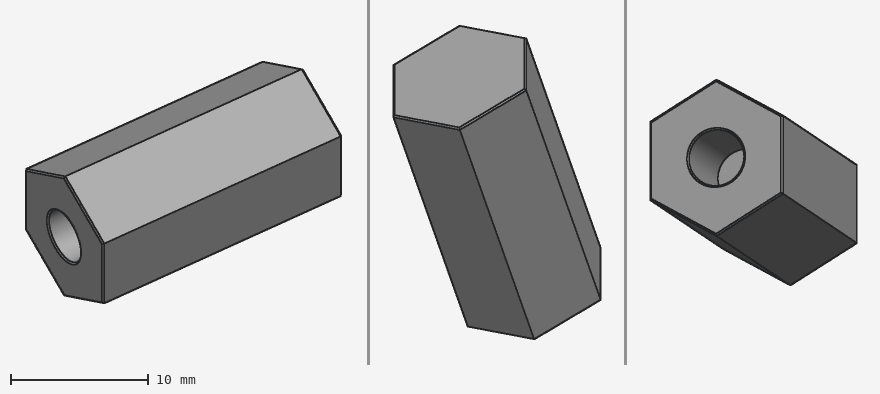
import cadquery as cq
import math

length = 21.1
across_flats = 10.0
across_corners = across_flats / math.cos(math.pi / 6)
edge_chamfer = 0.13

hole_diameter = 4.14
hole_depth = 2 * hole_diameter
hole_chamfer = 0.13


def hex_body():
    """Hexagonal bar with corners at top and bottom and chamfered end edges."""
    bar = (
        cq.Workplane("XZ")
        .transformed(rotate=(0, 0, 90))
        .polygon(6, across_corners)
        .extrude(length / 2, both=True)
    )
    return bar.faces("<Y or >Y").chamfer(edge_chamfer)


def blind_hole():
    """Solid to cut away: a flat-bottomed hole with a chamfered mouth, opening at -Y."""
    radius = hole_diameter / 2
    mouth_radius = radius + hole_chamfer
    mouth_y = -length / 2
    return (
        cq.Workplane("XY")
        .moveTo(0, mouth_y)
        .lineTo(mouth_radius, mouth_y)
        .lineTo(radius, mouth_y + hole_chamfer)
        .lineTo(radius, mouth_y + hole_depth)
        .lineTo(0, mouth_y + hole_depth)
        .close()
        .revolve(360, (0, 0, 0), (0, 1, 0))
    )


result = hex_body().cut(blind_hole())